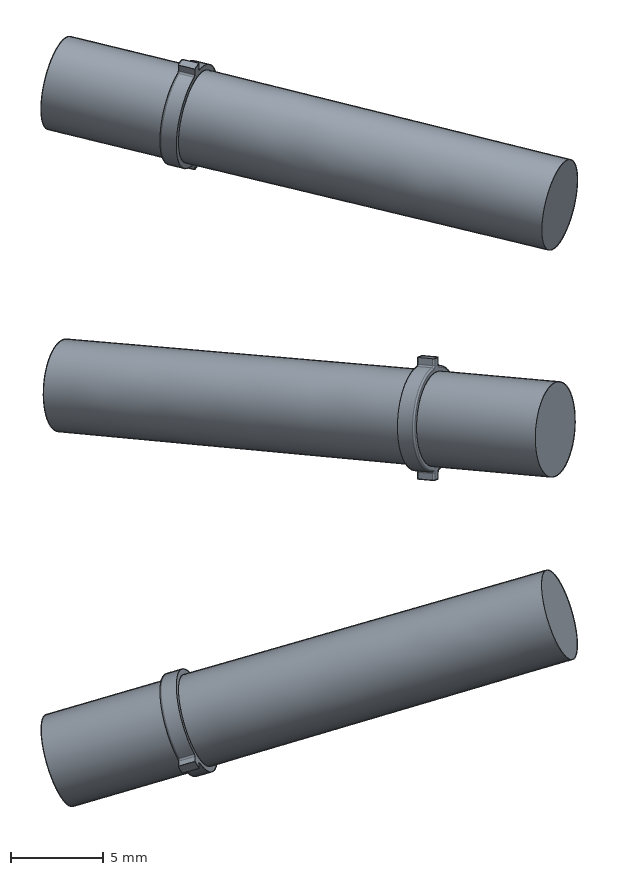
import cadquery as cq

length = 29.45
body_diameter = 5.2
tip_diameter = 5.07

collar_start = 7.1
collar_width = 1.0
collar_diameter = 5.83
collar_rounding = 0.1

key_span = 6.75
key_width = 0.6
key_root_radius = 0.1

collar_end = collar_start + collar_width


def cylinder(start, span, diameter):
    """Round bar along +X."""
    return cq.Workplane("YZ", origin=(start, 0, 0)).circle(diameter / 2).extrude(span)


def make_body():
    """Straight shank up to the collar, then a slight taper to the far end."""
    return (
        cq.Workplane("XZ")
        .moveTo(0, 0)
        .lineTo(0, body_diameter / 2)
        .lineTo(collar_end, body_diameter / 2)
        .lineTo(length, tip_diameter / 2)
        .lineTo(length, 0)
        .close()
        .revolve(360, (0, 0, 0), (1, 0, 0))
    )


def make_keyed_collar():
    """Locating ring with two opposite keys, its edge rounded on the side facing the plain end."""
    ring = cylinder(collar_start, collar_width, collar_diameter)
    keys = (
        cq.Workplane("YZ", origin=(collar_start, 0, 0))
        .rect(key_width, key_span)
        .extrude(collar_width)
    )
    inner_box = cq.selectors.BoxSelector(
        (0, -key_width, -collar_diameter / 2),
        (length, key_width, collar_diameter / 2),
    )
    blended = ring.union(keys).edges("|X").edges(inner_box).fillet(key_root_radius)

    return blended.faces("<X").edges("not |Y").fillet(collar_rounding)


result = make_body().union(make_keyed_collar())